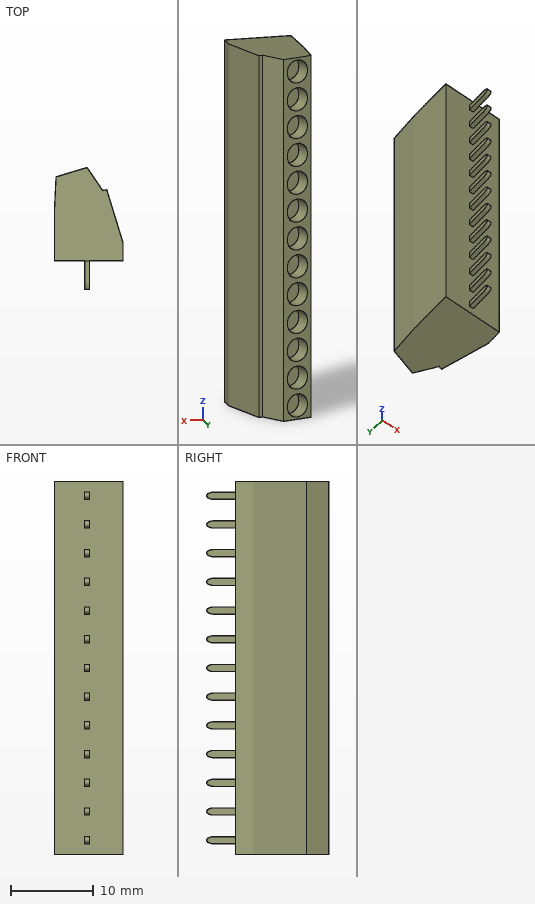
import cadquery as cq

pole_count = 13
pitch = 3.5
body_length = pole_count * pitch

body_width = 8.4
body_height = 11.4
left_wall_height = 6.1
left_shoulder = (0.2, 10.25)
ridge = (4.0, body_height)
notch_inner = (5.9, 8.6)
notch_outer = (6.4, 8.7)
right_wall_height = 2.2

pin_x = 4.0
pin_length = 3.5
pin_thickness = 0.6
pin_width = 0.9
pin_tip_length = 0.8
pin_nose_length = 0.2
pin_nose_width = 0.56

recess_diameter = 2.9
recess_depth = 2.0


def make_housing():
    """Extrude the cross-section along the row."""
    return (
        cq.Workplane("XY")
        .moveTo(0, 0)
        .lineTo(body_width, 0)
        .lineTo(body_width, right_wall_height)
        .lineTo(*notch_outer)
        .lineTo(*notch_inner)
        .lineTo(*ridge)
        .lineTo(*left_shoulder)
        .lineTo(0, left_wall_height)
        .close()
        .extrude(body_length)
    )


def make_pin(z):
    """Flat pin below the board face; its edges curve inward to a small rounded nose."""
    half_width = pin_width / 2
    half_nose = pin_nose_width / 2
    tip_start = pin_tip_length - pin_length
    nose_start = pin_nose_length - pin_length
    side_run = tip_start - nose_start
    side_drop = half_width - half_nose
    side_radius = (side_run**2 + side_drop**2) / (2 * side_drop)
    return (
        cq.Workplane("YZ", origin=(pin_x - pin_thickness / 2, 0, z))
        .moveTo(0, half_width)
        .lineTo(tip_start, half_width)
        .radiusArc((nose_start, half_nose), -side_radius)
        .threePointArc((-pin_length, 0), (nose_start, -half_nose))
        .radiusArc((tip_start, -half_width), -side_radius)
        .lineTo(0, -half_width)
        .close()
        .extrude(pin_thickness)
    )


def make_recess(z):
    """Round recess sunk square to the sloped face, on its centre line."""
    run = ridge[0] - left_shoulder[0]
    rise = ridge[1] - left_shoulder[1]
    centre_x = (left_shoulder[0] + ridge[0]) / 2
    centre_y = (left_shoulder[1] + ridge[1]) / 2
    inward = cq.Vector(rise, -run, 0)
    centre = cq.Vector(centre_x, centre_y, z)
    return cq.Workplane(cq.Solid.makeCylinder(recess_diameter / 2, recess_depth, centre, inward))


result = make_housing()
for pole in range(pole_count):
    pole_z = (pole + 0.5) * pitch
    result = result.union(make_pin(pole_z)).cut(make_recess(pole_z))